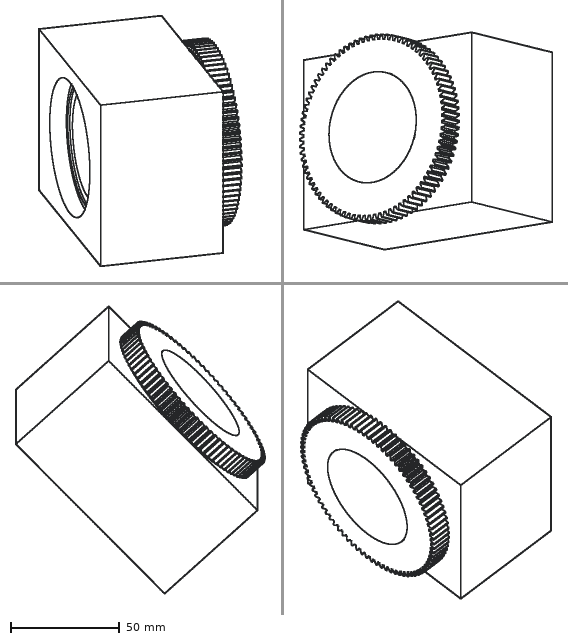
import cadquery as cq
import math

HOUSING_WIDTH = 100.0
HOUSING_HEIGHT = 80.0
HOUSING_DEPTH = 59.0
SEAT_DIAMETER = 65.0
SEAT_DEPTH = 8.0
SLEEVE_DIAMETER = 60.5

OVERALL_DEPTH = 70.0
MODULE = 1.0
TOOTH_COUNT = 85
PRESSURE_ANGLE = math.radians(20.0)
TOOTH_PHASE = math.radians(-0.41)
BACKLASH = 0.13
ROOT_DEPTH_FACTOR = 1.25
RIM_WIDTH = 10.0
COLLAR_DIAMETER = 80.0
BORE_DIAMETER = 52.0
SLEEVE_RECESS = 1.0

PITCH_RADIUS = MODULE * TOOTH_COUNT / 2
TIP_RADIUS = PITCH_RADIUS + MODULE
ROOT_RADIUS = PITCH_RADIUS - ROOT_DEPTH_FACTOR * MODULE
BASE_RADIUS = PITCH_RADIUS * math.cos(PRESSURE_ANGLE)
TOOTH_PITCH_ANGLE = 2 * math.pi / TOOTH_COUNT
RIM_START = OVERALL_DEPTH - RIM_WIDTH
SLEEVE_START = SEAT_DEPTH + SLEEVE_RECESS


def cylinder_along_y(diameter, y_start, y_end):
    """Solid cylinder on the Y axis between two y positions."""
    plane = cq.Plane(origin=(0, y_start, 0), xDir=(1, 0, 0), normal=(0, 1, 0))
    return cq.Workplane(plane).circle(diameter / 2).extrude(y_end - y_start)


def involute_angle(radius):
    """Polar angle of the involute of the base circle at a radius."""
    roll = math.sqrt((radius / BASE_RADIUS) ** 2 - 1)
    return roll - math.atan(roll)


def half_tooth_angle(radius):
    """Half the angle a tooth spans at a radius, thinned by the backlash."""
    at_pitch = TOOTH_PITCH_ANGLE / 4 - BACKLASH / (2 * PITCH_RADIUS)
    return at_pitch + involute_angle(PITCH_RADIUS) - involute_angle(radius)


def polar(radius, angle):
    """Cartesian point from a radius and an angle."""
    return (radius * math.cos(angle), radius * math.sin(angle))


def toothed_rim():
    """Spur rim with its first tooth close to +X and an arc through three involute points for each flank."""
    at_root = half_tooth_angle(ROOT_RADIUS)
    at_pitch = half_tooth_angle(PITCH_RADIUS)
    at_tip = half_tooth_angle(TIP_RADIUS)
    outline = cq.Workplane("XZ", origin=(0, OVERALL_DEPTH, 0))
    outline = outline.moveTo(*polar(ROOT_RADIUS, TOOTH_PHASE - at_root))
    for tooth in range(TOOTH_COUNT):
        centre = TOOTH_PHASE + tooth * TOOTH_PITCH_ANGLE
        gap_centre = centre + TOOTH_PITCH_ANGLE / 2
        next_root = centre + TOOTH_PITCH_ANGLE - at_root
        outline = (
            outline
            .threePointArc(polar(PITCH_RADIUS, centre - at_pitch), polar(TIP_RADIUS, centre - at_tip))
            .threePointArc(polar(TIP_RADIUS, centre), polar(TIP_RADIUS, centre + at_tip))
            .threePointArc(polar(PITCH_RADIUS, centre + at_pitch), polar(ROOT_RADIUS, centre + at_root))
            .threePointArc(polar(ROOT_RADIUS, gap_centre), polar(ROOT_RADIUS, next_root))
        )
    return outline.close().extrude(RIM_WIDTH)


def make_housing():
    """Rectangular block with a sleeve hole right through and a wider seat in its front face."""
    block = cq.Workplane("XY").box(
        HOUSING_WIDTH, HOUSING_DEPTH, HOUSING_HEIGHT, centered=(True, False, True)
    )
    seat = cylinder_along_y(SEAT_DIAMETER, 0, SEAT_DEPTH)
    sleeve_hole = cylinder_along_y(SLEEVE_DIAMETER, 0, HOUSING_DEPTH)
    return block.cut(seat).cut(sleeve_hole)


def make_gear():
    """Bored gear wheel whose sleeve fills the housing hole and whose collar spaces off the rim."""
    sleeve = cylinder_along_y(SLEEVE_DIAMETER, SLEEVE_START, HOUSING_DEPTH)
    collar = cylinder_along_y(COLLAR_DIAMETER, HOUSING_DEPTH, RIM_START)
    bore = cylinder_along_y(BORE_DIAMETER, SLEEVE_START, OVERALL_DEPTH)
    return toothed_rim().union(collar).union(sleeve).cut(bore)


housing = make_housing()
gear = make_gear()

result = cq.Compound.makeCompound([housing.val(), gear.val()])